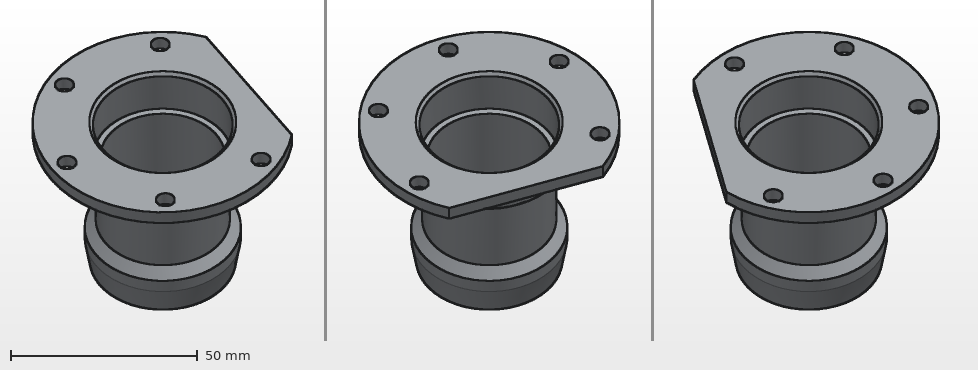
import cadquery as cq
import math

flange_radius = 34.9
flange_thickness = 4.0
flat_offset = 27.05

bolt_circle_radius = 30.05
bolt_hole_diameter = 5.0
bolt_angles = [30, 150, 210, 270, 330]

total_height = 50.85
collar_radius = 20.95
neck_radius = 18.0
tip_radius = 19.7
shoulder_height = 3.0
upper_collar_height = 7.95
lower_collar_height = 4.0
tip_height = 7.95

bore_radius = 16.8
recess_radius = 18.7
recess_depth = 13.0
mouth_chamfer = 1.0

flange_bottom = total_height - flange_thickness
upper_collar_bottom = flange_bottom - upper_collar_height
neck_top = upper_collar_bottom - shoulder_height
lower_collar_top = tip_height + lower_collar_height
neck_bottom = lower_collar_top + shoulder_height


def make_flange():
    """Round plate with a flat on +Y and a ring of bolt holes."""
    half_flat = math.sqrt(flange_radius**2 - flat_offset**2)
    plate = (
        cq.Workplane("XY", origin=(0, 0, flange_bottom))
        .moveTo(-half_flat, flat_offset)
        .threePointArc((0, -flange_radius), (half_flat, flat_offset))
        .close()
        .extrude(flange_thickness)
    )
    hole_centers = [
        (
            bolt_circle_radius * math.cos(math.radians(angle)),
            bolt_circle_radius * math.sin(math.radians(angle)),
        )
        for angle in bolt_angles
    ]
    return (
        plate.faces(">Z")
        .workplane(origin=(0, 0, total_height))
        .pushPoints(hole_centers)
        .hole(bolt_hole_diameter)
    )


def revolve_profile(points):
    """Turn a closed (radius, z) outline about the Z axis."""
    return cq.Workplane("XZ").polyline(points).close().revolve(360, (0, 0), (0, 1))


def make_spigot():
    """Solid hose spigot with two collars, a neck and a tapered tip."""
    return revolve_profile([
        (0, 0),
        (tip_radius, 0),
        (collar_radius, tip_height),
        (collar_radius, lower_collar_top),
        (neck_radius, neck_bottom),
        (neck_radius, neck_top),
        (collar_radius, upper_collar_bottom),
        (collar_radius, flange_bottom),
        (0, flange_bottom),
    ])


def make_bore():
    """Through bore with a wider, chamfered recess at the flange end."""
    recess_floor = total_height - recess_depth
    return revolve_profile([
        (0, 0),
        (bore_radius, 0),
        (bore_radius, recess_floor),
        (recess_radius, recess_floor),
        (recess_radius, total_height - mouth_chamfer),
        (recess_radius + mouth_chamfer, total_height),
        (0, total_height),
    ])


result = make_flange().union(make_spigot()).cut(make_bore())